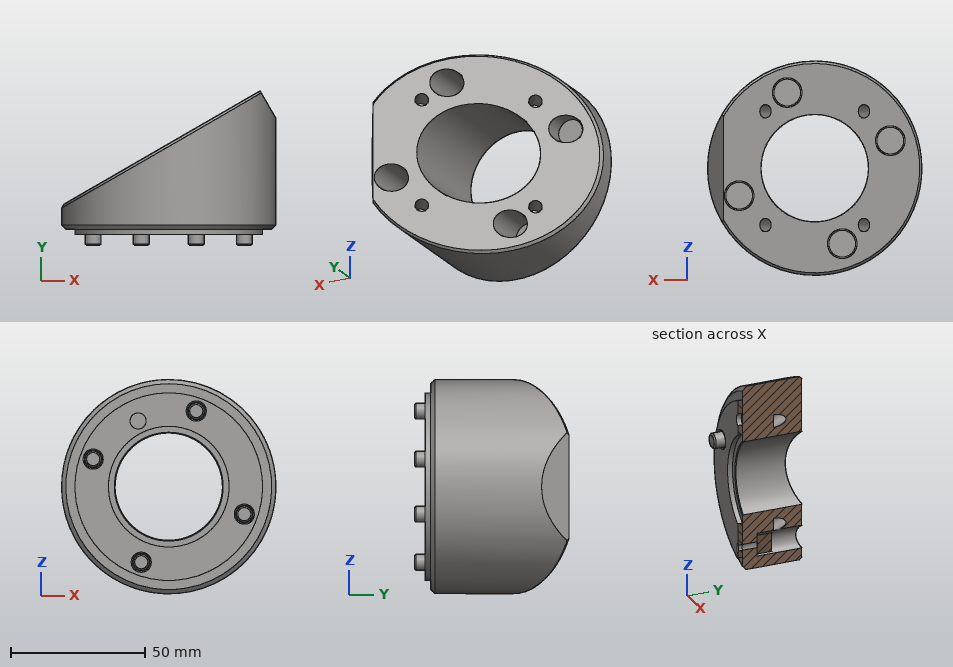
import cadquery as cq
import math

housing_dia = 80.0
slope_angle = 30.0
axis_height = 32.0
nose_distance = 39.4
front_chamfer = 1.6
slope_chamfer = 1.0
bore_dia = 40.0
bore_chamfer = 0.3

ring_outer_dia = 70.0
ring_inner_dia = 45.0
ring_thickness = 2.0
locating_hole_dia = 6.0
locating_hole_radius = 27.0
locating_hole_angle = 115.0

screw_count = 4
screw_circle_radius = 30.0
first_screw_angle = 70.0
screw_dia = 6.0
screw_tip_chamfer = 0.6
screw_protrusion = 4.0
head_dia = 10.0
head_height = 6.0
head_seat = 6.0
clearance_hole_dia = 6.6
clearance_hole_chamfer = 0.5
counterbore_dia = 11.0

tapped_hole_dia = 5.0
tapped_hole_depth = 10.0
tapped_circle_dia = 60.0

reach = 2 * housing_dia


def cylinder_y(dia, start, end, x=0.0, z=0.0):
    """Cylinder parallel to Y, between two Y positions."""
    solid = cq.Solid.makeCylinder(dia / 2, end - start, cq.Vector(x, start, z), cq.Vector(0, 1, 0))
    return cq.Workplane(obj=solid)


def chamfer_cone(hole_dia, chamfer, mouth, x=0.0, z=0.0):
    """Cutter that chamfers the mouth of a hole running from Y = mouth towards +Y."""
    hole_radius = hole_dia / 2
    solid = cq.Solid.makeCone(
        hole_radius + chamfer, hole_radius, chamfer, cq.Vector(x, mouth, z), cq.Vector(0, 1, 0)
    )
    return cq.Workplane(obj=solid)


def polar_position(radius, angle):
    """X and Z of a point on a circle about the housing axis."""
    return radius * math.cos(math.radians(angle)), radius * math.sin(math.radians(angle))


def screw_positions():
    """X and Z of every screw axis."""
    step = 360.0 / screw_count
    return [polar_position(screw_circle_radius, first_screw_angle + i * step) for i in range(screw_count)]


def slope_plane():
    """Plane on the sloping face: local x runs up the slope, the normal points out."""
    angle = math.radians(slope_angle)
    return cq.Plane(
        origin=(0, axis_height, 0),
        xDir=(math.cos(angle), math.sin(angle), 0),
        normal=(-math.sin(angle), math.cos(angle), 0),
    )


def make_housing():
    slope = slope_plane()
    body = cylinder_y(housing_dia, 0, axis_height + housing_dia)
    body = body.faces("<Y").chamfer(front_chamfer)

    above_slope = cq.Workplane(slope).rect(2 * reach, 2 * reach).extrude(reach)
    body = body.cut(above_slope)
    body = body.faces(cq.selectors.DirectionMinMaxSelector(slope.zDir, True)).edges().chamfer(slope_chamfer)

    beyond_nose = (
        cq.Workplane(slope)
        .center(nose_distance + reach / 2, 0)
        .rect(reach, reach)
        .extrude(reach / 2, both=True)
    )
    body = body.cut(beyond_nose)

    body = body.cut(cylinder_y(bore_dia, 0, reach))
    body = body.cut(chamfer_cone(bore_dia, bore_chamfer, 0))

    for x, z in screw_positions():
        body = body.cut(cylinder_y(clearance_hole_dia, 0, head_seat, x, z))
        body = body.cut(cylinder_y(counterbore_dia, head_seat, reach, x, z))

    square_side = tapped_circle_dia / math.sqrt(2)
    tapped_holes = (
        cq.Workplane(slope)
        .rect(square_side, square_side, forConstruction=True)
        .vertices()
        .circle(tapped_hole_dia / 2)
        .extrude(-tapped_hole_depth)
    )
    return body.cut(tapped_holes)


def make_ring():
    ring = cylinder_y(ring_outer_dia, -ring_thickness, 0)
    ring = ring.cut(cylinder_y(ring_inner_dia, -ring_thickness, 0))
    x, z = polar_position(locating_hole_radius, locating_hole_angle)
    ring = ring.cut(cylinder_y(locating_hole_dia, -ring_thickness, 0, x, z))
    for x, z in screw_positions():
        ring = ring.cut(cylinder_y(clearance_hole_dia, -ring_thickness, 0, x, z))
        ring = ring.cut(chamfer_cone(clearance_hole_dia, clearance_hole_chamfer, -ring_thickness, x, z))
    return ring


def make_screw(x, z):
    tip = -ring_thickness - screw_protrusion
    shank = cylinder_y(screw_dia, tip, head_seat, x, z).faces("<Y").chamfer(screw_tip_chamfer)
    head = cylinder_y(head_dia, head_seat, head_seat + head_height, x, z)
    return shank.union(head)


housing = make_housing()
ring = make_ring()
screws = [make_screw(x, z) for x, z in screw_positions()]

result = cq.Compound.makeCompound([housing.val(), ring.val(), *[screw.val() for screw in screws]])